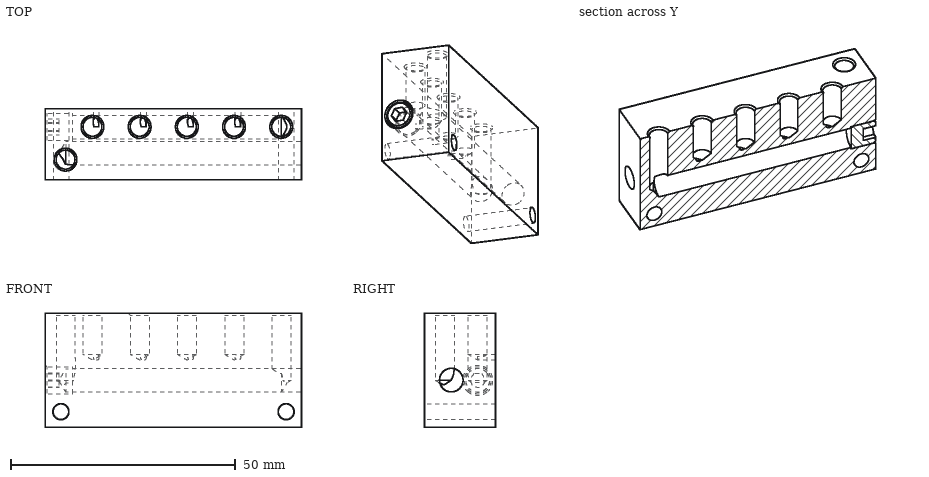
import cadquery as cq
import math

LENGTH = 57.1
WIDTH = 15.9
HEIGHT = 25.4

MOUNT_DIAMETER = 3.5
MOUNT_INSET = 3.5

PORT_DIAMETER = 4.2
PORT_MOUTH_DIAMETER = 5.1
DRILL_HALF_ANGLE = math.radians(59)
PORT_ROW_Y = 11.8
PORT_PITCH = 10.5
OUTLET_COUNT = 4
OUTLET_DEPTH = 9.15
SUPPLY_X = (OUTLET_COUNT + 1) * PORT_PITCH
EXHAUST_X = 4.5
EXHAUST_Y = 4.5

GALLERY_DIAMETER = 5.25
GALLERY_Z = 10.5
EXHAUST_GALLERY_Y = 6.0

PASSAGE_DIAMETER = 1.3
PASSAGE_OFFSET_X = 0.8
PASSAGE_DEPTH = 9.75

PLUG_DIAMETER = 6.0
PLUG_LENGTH = 6.0
PLUG_CHAMFER = 0.35
PLUG_BORE_MOUTH_DIAMETER = 6.7
SOCKET_SIDES = 6
SOCKET_ACROSS_FLATS = 3.1
SOCKET_DEPTH = 3.0
SOCKET_TURN = 4.0

X_AXIS = cq.Vector(1, 0, 0)
Y_AXIS = cq.Vector(0, 1, 0)
DOWN = cq.Vector(0, 0, -1)


def drill_point_length(diameter):
    """Length of the conical point that a drill leaves."""
    return diameter / 2 / math.tan(DRILL_HALF_ANGLE)


def cylinder(diameter, length, start, direction):
    return cq.Solid.makeCylinder(diameter / 2, length, cq.Vector(*start), direction)


def drilled_hole(diameter, depth, start, direction):
    """Cutter for a blind hole; its conical point lies beyond the depth."""
    tip_base = cq.Vector(*start) + direction * depth
    tip = cq.Solid.makeCone(diameter / 2, 0, drill_point_length(diameter), tip_base, direction)
    return cylinder(diameter, depth, start, direction).fuse(tip)


def mouth_chamfer(mouth_diameter, diameter, start, direction):
    """Cutter for the 45 degree chamfer at the mouth of a hole."""
    depth = (mouth_diameter - diameter) / 2
    return cq.Solid.makeCone(mouth_diameter / 2, diameter / 2, depth, cq.Vector(*start), direction)


def cut_port(block, x, y, depth):
    mouth = (x, y, HEIGHT)
    block = block.cut(drilled_hole(PORT_DIAMETER, depth, mouth, DOWN))
    return block.cut(mouth_chamfer(PORT_MOUTH_DIAMETER, PORT_DIAMETER, mouth, DOWN))


def make_block():
    block = cq.Workplane().box(LENGTH, WIDTH, HEIGHT, centered=False)

    for x in (MOUNT_INSET, LENGTH - MOUNT_INSET):
        block = block.cut(cylinder(MOUNT_DIAMETER, WIDTH, (x, 0, MOUNT_INSET), Y_AXIS))

    passage_z = HEIGHT - PASSAGE_DEPTH
    for number in range(1, OUTLET_COUNT + 1):
        x = number * PORT_PITCH
        passage_end = (x + PASSAGE_OFFSET_X, PORT_ROW_Y, passage_z)
        block = block.cut(cylinder(PASSAGE_DIAMETER, WIDTH - PORT_ROW_Y, passage_end, Y_AXIS))
        block = cut_port(block, x, PORT_ROW_Y, OUTLET_DEPTH)

    gallery_depth = HEIGHT - GALLERY_Z
    block = cut_port(block, SUPPLY_X, PORT_ROW_Y, gallery_depth)
    block = cut_port(block, EXHAUST_X, EXHAUST_Y, gallery_depth)

    entry = (0, PORT_ROW_Y, GALLERY_Z)
    block = block.cut(drilled_hole(GALLERY_DIAMETER, SUPPLY_X, entry, X_AXIS))
    block = block.cut(cylinder(PLUG_DIAMETER, PLUG_LENGTH, entry, X_AXIS))
    block = block.cut(mouth_chamfer(PLUG_BORE_MOUTH_DIAMETER, PLUG_DIAMETER, entry, X_AXIS))

    exhaust_entry = (LENGTH, EXHAUST_GALLERY_Y, GALLERY_Z)
    exhaust_depth = LENGTH - EXHAUST_X
    return block.cut(drilled_hole(GALLERY_DIAMETER, exhaust_depth, exhaust_entry, -X_AXIS))


def make_plug():
    """Plug flush with the left end, with a chamfered rim and a hexagon socket."""
    end_plane = cq.Plane(origin=(0, PORT_ROW_Y, GALLERY_Z), xDir=(0, 1, 0), normal=(1, 0, 0))
    socket_corner_diameter = SOCKET_ACROSS_FLATS / math.cos(math.pi / SOCKET_SIDES)
    plug = cq.Workplane(end_plane).circle(PLUG_DIAMETER / 2).extrude(PLUG_LENGTH)
    plug = plug.faces("<X").chamfer(PLUG_CHAMFER)
    socket = (
        cq.Workplane(end_plane.rotated((0, 0, -SOCKET_TURN)))
        .polygon(SOCKET_SIDES, socket_corner_diameter)
        .extrude(SOCKET_DEPTH)
    )
    return plug.cut(socket)


block = make_block()
plug = make_plug()
result = cq.Compound.makeCompound([block.solids().val(), plug.solids().val()])